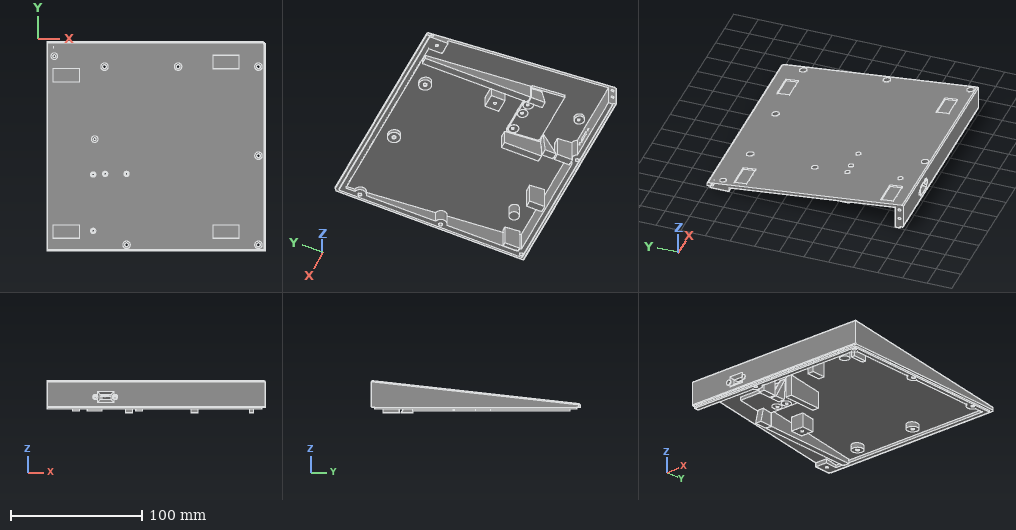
import cadquery as cq

WIDTH = 166.3
DEPTH = 159.5
HEIGHT = 24.6
SLOPE = 1 / 9
PANEL_DROP = 2.8
WALL = 6.7
SKIN = 2.7
SKIN_BOTTOM = 4.2
RIM_BOTTOM = 2.8
EDGE_CHAMFER = 1.0
LIP_CHAMFER = 0.7
CORNER_CHAMFER = 1.7
OVERSHOOT = 1.7

CORNER_WIDTH = 10.8
CORNER_FRONT = 141.5

LARGE_BORE, LARGE_HEAD = 2.8, 5.7
MEDIUM_BORE, MEDIUM_HEAD = 2.0, 5.0
SMALL_BORE, SMALL_HEAD = 2.0, 4.0
REAR_ROW_Y = 140.3
FRONT_ROW_Y = 4.7
RIGHT_COLUMN_X = 161.0
LARGE_HOLES = [
    (43.7, REAR_ROW_Y),
    (99.8, REAR_ROW_Y),
    (RIGHT_COLUMN_X, REAR_ROW_Y),
    (RIGHT_COLUMN_X, 72.5),
    (RIGHT_COLUMN_X, FRONT_ROW_Y),
    (60.5, FRONT_ROW_Y),
]
POST_HOLE = (36.2, 85.1)
MEDIUM_HOLES = [(5.5, 148.3), POST_HOLE]
SMALL_HOLES = [(35.1, 58.2), (44.2, 58.7), (60.5, 58.7), (35.1, 15.3)]
LARGE_HEAD_DEPTH = 4.0
MEDIUM_HEAD_DEPTH = 3.5
SMALL_HEAD_DEPTH = 2.8
LARGE_BOSS = 10.0
SMALL_BOSS = 8.0
POST_SIDE = 11.5
SMALL_BOSS_DROP = 2.7

RECESS_DEPTH = 1.3
LEFT_RECESS_X, LEFT_RECESS_WIDTH = 4.3, 20.3
RIGHT_RECESS_X, RIGHT_RECESS_WIDTH = 126.5, 19.6
RECESS_LENGTH = 10.3
FRONT_RECESS_Y = 9.6
RECESSES = [
    (LEFT_RECESS_X, FRONT_RECESS_Y, LEFT_RECESS_WIDTH),
    (RIGHT_RECESS_X, FRONT_RECESS_Y, RIGHT_RECESS_WIDTH),
    (LEFT_RECESS_X, 128.7, LEFT_RECESS_WIDTH),
    (RIGHT_RECESS_X, 138.8, RIGHT_RECESS_WIDTH),
]

PORT_X, PORT_Z = 44.5, 12.1
PORT_WIDTH, PORT_HEIGHT = 12.6, 8.5
PORT_INNER_WIDTH, PORT_INNER_HEIGHT = 8.1, 3.5
PORT_SCREW_X = 44.2
PORT_SCREW_PITCH = 15.0
PORT_SCREW_HEAD = 4.0
PORT_SCREW_DEPTH = 3.3

DOWEL_DIAMETER = 2.0
DOWEL_DEPTH = 5.0
DOWELS = [(3.2, 19.6), (3.2, 11.6), (155.0, 5.8)]

RIB_WIDTH = 5.5
RIB_BOTTOM = 1.3
LONG_RIB = (19.3, 63.2, 151.6)
STUB_RIB_REAR = 62.5
STUB_RIB_FRONT_TOP = 54.2
STUB_RIB_FRONT_BOTTOM = 50.9
SHORT_RIB = (67.3, 31.5, 62.5)
TAB_FRONT, TAB_REAR = 9.0, 21.6
FIRST_TAB_X = 59.7
TABS = [(FIRST_TAB_X, RIB_WIDTH), (109.5, RIB_WIDTH), (154.1, 3.2)]
PAD_LEFT, PAD_RIGHT = 18.3, 64.5
PAD_FRONT, PAD_REAR = 34.8, 62.2
PAD_DROP = 2.7
STUB_PLACE = (134.7, 23.0)
STUB_BOTTOM = 10.0

BRACE_LEFT = FIRST_TAB_X
BRACE_REAR_TOP = 33.6
BRACE_REAR_BOTTOM = 32.0
BRACE_FRONT_TOP = 33.3
BRACE_FRONT_BOTTOM = 22.8


def panel_top(y):
    return HEIGHT - SLOPE * (y - EDGE_CHAMFER)


def panel_underside(y):
    return panel_top(y) - PANEL_DROP


def prism(left, right, outline):
    """Extrude a (Y, Z) outline along X."""
    return cq.Workplane("YZ").workplane(offset=left).polyline(outline).close().extrude(right - left)


def below_panel(left, right, front, rear, bottom):
    """Fill the space between a level bottom and the sloping underside, rooted in the panel."""
    root = PANEL_DROP / 2
    return prism(left, right, [
        (front, bottom),
        (rear, bottom),
        (rear, panel_underside(rear) + root),
        (front, panel_underside(front) + root),
    ])


def panel_plane(x, y):
    """Workplane on the top panel, its normal pointing out of the panel."""
    normal = (0, SLOPE, 1)
    return cq.Workplane(cq.Plane(origin=(x, y, panel_top(y)), xDir=(1, 0, 0), normal=normal))


def make_shell():
    outer = prism(0, WIDTH, [
        (0, SKIN_BOTTOM),
        (DEPTH, SKIN_BOTTOM),
        (DEPTH, panel_top(DEPTH)),
        (0, panel_top(0)),
    ])
    outer = outer.edges(">X and >Y").chamfer(CORNER_CHAMFER)
    outer = outer.faces(">Z").edges("not <X").chamfer(EDGE_CHAMFER)
    outer = outer.edges("<Y and <Z").chamfer(LIP_CHAMFER)
    rim = below_panel(0, WIDTH - SKIN, SKIN, DEPTH - SKIN, RIM_BOTTOM)
    cavity_front, cavity_rear = WALL, DEPTH - WALL
    cavity = prism(-OVERSHOOT, WIDTH - WALL, [
        (cavity_front, 0),
        (cavity_rear, 0),
        (cavity_rear, panel_underside(cavity_rear)),
        (cavity_front, panel_underside(cavity_front)),
    ])
    corner = below_panel(0, CORNER_WIDTH, CORNER_FRONT, DEPTH - SKIN, RIM_BOTTOM)
    return outer.union(rim).cut(cavity).union(corner)


def round_boss(x, y, diameter, bottom):
    """Upright round boss from a level bottom up into the panel."""
    top = panel_underside(y) + PANEL_DROP / 2
    return cq.Workplane(origin=(x, y, bottom)).circle(diameter / 2).extrude(top - bottom)


def add_supports(body):
    inner = cq.Workplane(origin=(0, SKIN, 0)).box(
        WIDTH - SKIN, DEPTH - 2 * SKIN, HEIGHT, centered=False
    )
    for x, y in LARGE_HOLES:
        body = body.union(round_boss(x, y, LARGE_BOSS, RIM_BOTTOM).intersect(inner))
    post_x, post_y = POST_HOLE
    reach = POST_SIDE / 2
    square_post = below_panel(post_x - reach, post_x + reach, post_y - reach, post_y + reach, RIB_BOTTOM)
    body = body.union(square_post).union(round_boss(*STUB_PLACE, SMALL_BOSS, STUB_BOTTOM))
    for x, y in SMALL_HOLES:
        boss_length = PANEL_DROP / 2 + SMALL_BOSS_DROP
        plane = panel_plane(x, y).workplane(offset=-PANEL_DROP / 2)
        body = body.union(plane.circle(SMALL_BOSS / 2).extrude(-boss_length))
    for left, front, rear in (LONG_RIB, SHORT_RIB):
        body = body.union(below_panel(left, left + RIB_WIDTH, front, rear, RIB_BOTTOM))
    stub_left = LONG_RIB[0]
    body = body.union(prism(stub_left, stub_left + RIB_WIDTH, [
        (STUB_RIB_FRONT_BOTTOM, RIB_BOTTOM),
        (STUB_RIB_REAR, RIB_BOTTOM),
        (STUB_RIB_REAR, panel_underside(STUB_RIB_REAR)),
        (STUB_RIB_FRONT_TOP, panel_underside(STUB_RIB_FRONT_TOP)),
    ]))
    for left, width in TABS:
        body = body.union(below_panel(left, left + width, TAB_FRONT, TAB_REAR, 0))
    pad = prism(PAD_LEFT, PAD_RIGHT, [
        (PAD_FRONT, panel_underside(PAD_FRONT) - PAD_DROP),
        (PAD_REAR, panel_underside(PAD_REAR) - PAD_DROP),
        (PAD_REAR, panel_underside(PAD_REAR) + PANEL_DROP / 2),
        (PAD_FRONT, panel_underside(PAD_FRONT) + PANEL_DROP / 2),
    ])
    return body.union(pad)


def cut_screw_holes(body):
    kinds = [
        (LARGE_BORE, LARGE_HEAD, LARGE_HEAD_DEPTH, LARGE_HOLES),
        (MEDIUM_BORE, MEDIUM_HEAD, MEDIUM_HEAD_DEPTH, MEDIUM_HOLES),
        (SMALL_BORE, SMALL_HEAD, SMALL_HEAD_DEPTH, SMALL_HOLES),
    ]
    for bore, head, head_depth, places in kinds:
        taper = (head - bore) / 2
        for x, y in places:
            surface = cq.Workplane(origin=(x, y, panel_top(y)))
            seat = surface.workplane(offset=-head_depth)
            head_bore = seat.circle(head / 2).extrude(head_depth + OVERSHOOT)
            cone = seat.circle(head / 2).workplane(offset=-taper).circle(bore / 2).loft()
            shank = seat.circle(bore / 2).extrude(-HEIGHT - OVERSHOOT)
            body = body.cut(head_bore).cut(cone).cut(shank)
    return body


def cut_recesses(body):
    for left, front, width in RECESSES:
        plane = panel_plane(left + width / 2, front + RECESS_LENGTH / 2)
        body = body.cut(plane.rect(width, RECESS_LENGTH).extrude(-RECESS_DEPTH))
    return body


def cut_port(body):
    front = cq.Workplane("XZ", origin=(PORT_X, 0, PORT_Z))
    taper_depth = (PORT_WIDTH - PORT_INNER_WIDTH) / 2
    funnel = (
        front.rect(PORT_WIDTH, PORT_HEIGHT)
        .workplane(offset=-taper_depth)
        .rect(PORT_INNER_WIDTH, PORT_INNER_HEIGHT)
        .loft()
    )
    throat = front.rect(PORT_INNER_WIDTH, PORT_INNER_HEIGHT).extrude(-WALL)
    screw_places = [(-PORT_SCREW_PITCH / 2, 0), (PORT_SCREW_PITCH / 2, 0)]
    screw_plane = cq.Workplane("XZ", origin=(PORT_SCREW_X, 0, PORT_Z)).pushPoints(screw_places)
    heads = screw_plane.circle(PORT_SCREW_HEAD / 2).extrude(-PORT_SCREW_DEPTH)
    bores = screw_plane.circle(SMALL_BORE / 2).extrude(-WALL)
    return body.cut(funnel).cut(throat).cut(heads).cut(bores)


def cut_dowel_holes(body):
    return body.cut(cq.Workplane("YZ").pushPoints(DOWELS).circle(DOWEL_DIAMETER / 2).extrude(DOWEL_DEPTH))


def make_housing():
    body = add_supports(make_shell())
    return cut_dowel_holes(cut_port(cut_recesses(cut_screw_holes(body))))


def make_brace():
    return prism(BRACE_LEFT, BRACE_LEFT + RIB_WIDTH, [
        (BRACE_FRONT_BOTTOM, 0),
        (BRACE_REAR_BOTTOM, 0),
        (BRACE_REAR_TOP, panel_underside(BRACE_REAR_TOP)),
        (BRACE_FRONT_TOP, panel_underside(BRACE_FRONT_TOP)),
    ])


housing = make_housing()
brace = make_brace()
result = cq.Compound.makeCompound([housing.val(), brace.val()])